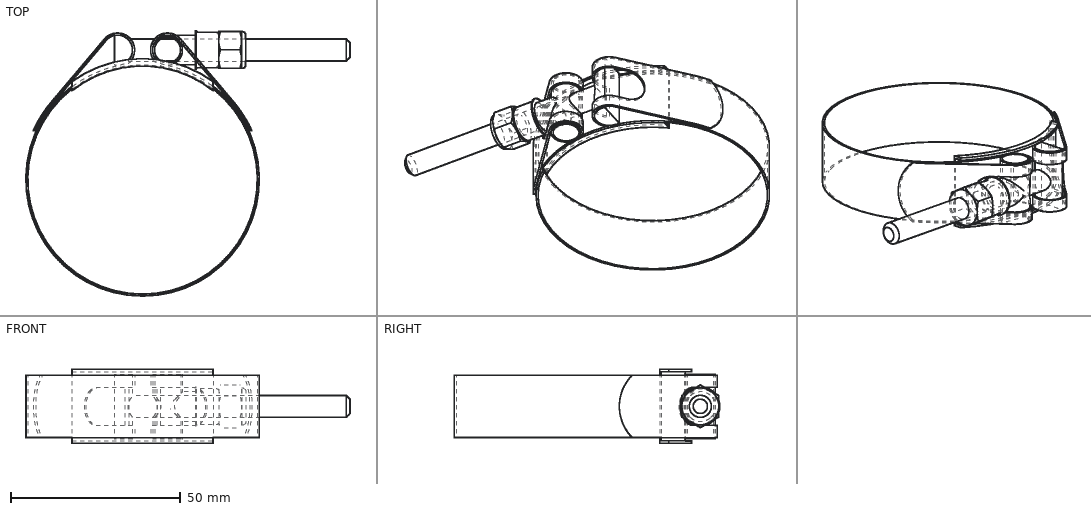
import cadquery as cq
import math


band_radius = 34.5
band_thickness = 0.62
band_width = 18.5
tongue_gap = 0.2
tongue_tip_y = 14.3
tongue_corner_y = 18.1
window_width = 11.2
bolt_end_window = 9.4
nut_end_window = 12.1
window_clearance = 0.6

trunnion_radius = 4.4
trunnion_length = 19.1
trunnion_x = 7.4
head_flat_offset = 1.0
spacer_wall = 0.6

bridge_inner_radius = 33.5
bridge_outer_radius = 35.7
bridge_width = 22.0
bridge_span = 41.7
bridge_wall = 0.8

bolt_radius = 3.3
bolt_end_x = 61.4
bolt_chamfer = 1.15
collar_start_x = 15.6
collar_radius = 5.3
flange_radius = 5.8
flange_thickness = 0.3
flange_fillet = 0.4
collar_end_fillet = 0.8
nut_start_x = 22.55
nut_end_x = 30.5
nut_across_flats = 10.9
nut_round_length = 1.2
nut_round_fillet = 1.1
nut_corner_chamfer = 0.5

ring_inner_radius = band_radius - band_thickness
loop_radius = trunnion_radius + band_thickness
loop_distance = ring_inner_radius + loop_radius
axis_y = math.sqrt(loop_distance**2 - trunnion_x**2)
loop_angle = math.degrees(math.atan2(axis_y, trunnion_x))
tongue_inner_radius = band_radius + tongue_gap
tongue_radius = tongue_inner_radius + band_thickness
strap_angle = loop_angle - math.degrees(math.acos((tongue_radius - loop_radius) / loop_distance))


def polar(radius, angle, center=(0, 0)):
    """Point at a radius and an angle in degrees from a center."""
    turn = math.radians(angle)
    return (center[0] + radius * math.cos(turn), center[1] + radius * math.sin(turn))


def arc_strip(inner, outer, start, end, center=(0, 0)):
    """Band strip bent to an arc, between two angles in degrees."""
    middle = (start + end) / 2
    return (
        cq.Workplane("XY")
        .moveTo(*polar(outer, start, center))
        .threePointArc(polar(outer, middle, center), polar(outer, end, center))
        .lineTo(*polar(inner, end, center))
        .threePointArc(polar(inner, middle, center), polar(inner, start, center))
        .close()
        .extrude(band_width / 2, both=True)
    )


def x_cylinder(radius, start_x, end_x):
    """Round bar on the bolt axis."""
    return (
        cq.Workplane("YZ", origin=(start_x, axis_y, 0))
        .circle(radius)
        .extrude(end_x - start_x)
    )


def x_revolve(profile):
    """Turn a closed sketch in the XY plane about the bolt axis."""
    return profile.close().revolve(360, (0, axis_y), (1, axis_y))


def upright(radius, x):
    """Trunnion-length cylinder along Z at the height of the bolt axis."""
    return cq.Workplane("XY").center(x, axis_y).circle(radius).extrude(trunnion_length / 2, both=True)


def tongue_tip_cutter():
    """Everything below the rounded tip of a tongue, down to the level of the band axis."""
    rise = tongue_corner_y - tongue_tip_y
    tip_radius = ((band_width / 2)**2 + rise**2) / (2 * rise)
    return (
        cq.Workplane("YZ")
        .center(tongue_corner_y / 2, 0)
        .rect(tongue_corner_y, band_width)
        .extrude(2 * band_radius)
        .cut(
            cq.Workplane("YZ")
            .center(tongue_tip_y + tip_radius, 0)
            .circle(tip_radius)
            .extrude(2 * band_radius)
        )
    )


def window_cutter(center, window_length):
    """Round-ended window down the strap, carried on around the loop."""
    normal = polar(1, strap_angle)
    downhill = (normal[1], -normal[0])
    strap_start = polar(trunnion_radius, strap_angle, center)
    strap_plane = cq.Plane(
        origin=(strap_start[0], strap_start[1], 0),
        xDir=(downhill[0], downhill[1], 0),
        normal=(normal[0], normal[1], 0),
    )
    straight_length = window_length - window_width / 2
    strap_window = (
        cq.Workplane(strap_plane)
        .moveTo(0, -window_width / 2)
        .lineTo(straight_length, -window_width / 2)
        .threePointArc((window_length, 0), (straight_length, window_width / 2))
        .lineTo(0, window_width / 2)
        .close()
        .extrude(band_thickness, both=True)
    )
    depth = bolt_radius + window_clearance
    loop_window = (
        cq.Workplane("XY")
        .center(center[0], axis_y + (loop_radius - depth) / 2)
        .rect(2 * loop_radius, loop_radius + depth)
        .extrude(window_width / 2, both=True)
        .intersect(upright(loop_radius, center[0]))
    )
    return strap_window.union(loop_window)


def folded_end(window_length):
    """Band end at +X: loop around the trunnion, straight strap and tongue lying over the ring."""
    center = (trunnion_x, axis_y)
    tip_angle = math.degrees(math.asin(tongue_tip_y / tongue_radius))
    loop = arc_strip(trunnion_radius, loop_radius, strap_angle, loop_angle + 180, center)
    strap = (
        cq.Workplane("XY")
        .polyline([
            polar(loop_radius, strap_angle, center),
            polar(trunnion_radius, strap_angle, center),
            polar(tongue_inner_radius, strap_angle),
            polar(tongue_radius, strap_angle),
        ])
        .close()
        .extrude(band_width / 2, both=True)
    )
    tongue = arc_strip(tongue_inner_radius, tongue_radius, tip_angle, strap_angle)
    tongue = tongue.cut(tongue_tip_cutter())
    return loop.union(strap).union(tongue).cut(window_cutter(center, window_length))


def make_band():
    """One strip: a ring whose two ends fold back outward around the trunnions."""
    ring = arc_strip(ring_inner_radius, band_radius, 180 - loop_angle, 360 + loop_angle)
    bolt_end = folded_end(bolt_end_window).mirror("YZ")
    return ring.union(bolt_end).union(folded_end(nut_end_window))


def make_bridge():
    """Curved channel under the gap in the ring: thin floor and two side walls."""
    bridge = (
        cq.Workplane("XY")
        .circle(bridge_outer_radius)
        .circle(bridge_inner_radius)
        .extrude(bridge_width / 2, both=True)
    )
    channel = (
        cq.Workplane("XY")
        .circle(bridge_outer_radius)
        .circle(ring_inner_radius)
        .extrude(bridge_width / 2 - bridge_wall, both=True)
    )
    upper_block = cq.Workplane("XY").box(
        bridge_span, bridge_outer_radius, bridge_width, centered=(True, False, True)
    )
    return bridge.cut(channel).intersect(upper_block)


def make_t_bolt():
    """Bolt with a half-round trunnion as its head."""
    flat_x = -trunnion_x - head_flat_offset
    head_block = (
        cq.Workplane("XY")
        .center(flat_x + trunnion_radius, axis_y)
        .rect(2 * trunnion_radius, 2 * trunnion_radius)
        .extrude(trunnion_length / 2, both=True)
    )
    head = upright(trunnion_radius, -trunnion_x).intersect(head_block)
    shank = x_cylinder(bolt_radius, -trunnion_x, bolt_end_x).faces(">X").chamfer(bolt_chamfer)
    return head.union(shank)


def make_spacer():
    """Hollow trunnion with a tube on its side that reaches to the collar."""
    tube = x_cylinder(trunnion_radius, trunnion_x, collar_start_x)
    bore = x_cylinder(bolt_radius, trunnion_x - 2 * trunnion_radius, collar_start_x)
    hollow = upright(trunnion_radius - spacer_wall, trunnion_x)
    return upright(trunnion_radius, trunnion_x).union(tube).cut(hollow).cut(bore)


def make_collar():
    """Round collar between spacer and nut, flared to a thin flange at the spacer end."""
    flange_end_x = collar_start_x + flange_thickness
    mid_fillet = 1 - math.sqrt(0.5)
    profile = (
        cq.Workplane("XY")
        .moveTo(collar_start_x, axis_y + bolt_radius)
        .lineTo(collar_start_x, axis_y + flange_radius)
        .lineTo(flange_end_x, axis_y + flange_radius)
        .lineTo(flange_end_x, axis_y + collar_radius + flange_fillet)
        .threePointArc(
            (flange_end_x + mid_fillet * flange_fillet, axis_y + collar_radius + mid_fillet * flange_fillet),
            (flange_end_x + flange_fillet, axis_y + collar_radius),
        )
        .lineTo(nut_start_x, axis_y + collar_radius)
        .lineTo(nut_start_x, axis_y + bolt_radius)
    )
    return x_revolve(profile).faces(">X").edges(cq.selectors.RadiusNthSelector(-1)).fillet(collar_end_fillet)


def make_nut():
    """Hexagon nut with beveled corners and a round end."""
    flat_radius = nut_across_flats / 2
    corner_radius = flat_radius / math.cos(math.radians(30))
    hex_end_x = nut_end_x - nut_round_length
    hexagon = (
        cq.Workplane("YZ", origin=(nut_start_x, axis_y, 0))
        .transformed(rotate=(0, 0, 90))
        .polygon(6, 2 * corner_radius)
        .extrude(hex_end_x - nut_start_x)
    )
    bevel = x_revolve(
        cq.Workplane("XY")
        .moveTo(nut_start_x, axis_y)
        .lineTo(nut_start_x, axis_y + flat_radius)
        .lineTo(nut_start_x + nut_corner_chamfer, axis_y + corner_radius)
        .lineTo(hex_end_x - nut_corner_chamfer, axis_y + corner_radius)
        .lineTo(hex_end_x, axis_y + flat_radius)
        .lineTo(hex_end_x, axis_y)
    )
    round_end = x_cylinder(flat_radius, hex_end_x, nut_end_x).faces(">X").edges().fillet(nut_round_fillet)
    bore = x_cylinder(bolt_radius, nut_start_x, nut_end_x)
    return hexagon.intersect(bevel).union(round_end).cut(bore)


band = make_band()
bridge = make_bridge()
t_bolt = make_t_bolt()
spacer = make_spacer()
collar = make_collar()
nut = make_nut()

result = cq.Compound.makeCompound([
    band.val(),
    bridge.val(),
    t_bolt.val(),
    spacer.val(),
    collar.val(),
    nut.val(),
])